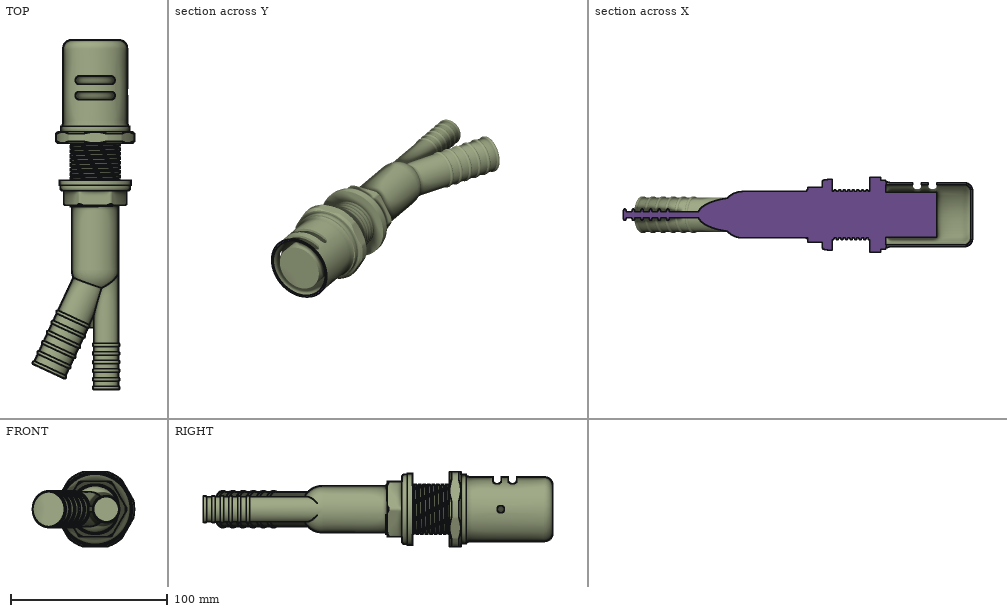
import cadquery as cq
import math


cap_height = 55.4
cap_radius = 20.65
cap_wall = 1.5
cap_top_fillet = 5.6
cap_foot_radius = 21.4
cap_foot_height = 3.4
vent_slot_length = 25.4
vent_slot_width = 5.2
vent_slot_levels = (29.55, 19.75)
side_hole_diameter = 4.7
side_hole_level = 22.1

core_radius = 14.5
core_height = 32.3
flange_radius = 22.2
flange_thickness = 3.3
upper_nut_radius = 25.15
upper_nut_apothem = 24.0
upper_nut_thickness = 7.5
upper_nut_chamfer = 1.4
upper_nut_edge_fillet = 4.0

tube_radius = 15.05
thread_radius = 16.1
thread_pitch = 2.92
thread_crest_width = 1.2
thread_root_width = 2.2
thread_embed = 0.3

washer_top = -34.3
washer_radius = 22.9
washer_thickness = 3.3
collar_radius = 22.5
collar_thickness = 3.6
collar_fillet = 2.2
lower_nut_apothem = 17.75
lower_nut_thickness = 9.2
lower_nut_corner_fillet = 2.0
lower_nut_chamfer = 1.2
thread_end_overhang = 0.9

tube_end = -91.7
dome_radius = 13.5
dome_skirt = 0.01
hose_end = -168.18
small_hose_radius = 8.05
small_bead_height = 0.6
small_bead_width = 2.2
small_bead_pitch = 5.5
large_hose_radius = 11.1
large_hose_length = 70.45
large_hose_start = tube_end - 1.0
large_hose_angle = 25.0
large_bead_height = 0.7
large_bead_width = 2.2
large_bead_pitch = 7.15
bead_count = 6
rib_thickness = 3.5
rib_end = -128.7

upper_nut_top = -flange_thickness
upper_nut_bottom = upper_nut_top - upper_nut_thickness
collar_top = washer_top - washer_thickness
lower_nut_top = collar_top - collar_thickness
lower_nut_bottom = lower_nut_top - lower_nut_thickness
thread_end = lower_nut_bottom - thread_end_overhang
small_hose_x = tube_radius - small_hose_radius


def disc(radius, top, bottom):
    """Cylinder on the main axis between two Y levels."""
    return cq.Workplane("XZ", origin=(0, top, 0)).circle(radius).extrude(top - bottom)


def hexagon(apothem, top, bottom):
    """Hexagonal prism on the main axis with flats facing +Z and -Z."""
    across_corners = 2 * apothem / math.cos(math.radians(30))
    return cq.Workplane("XZ", origin=(0, top, 0)).polygon(6, across_corners).extrude(top - bottom)


def make_cap():
    foot_step = cap_foot_radius - cap_radius
    foot_arc_radius = (cap_foot_height ** 2 + foot_step ** 2) / (2 * foot_step)
    outside = (
        cq.Workplane("XY")
        .lineTo(cap_foot_radius, 0)
        .radiusArc((cap_radius, cap_foot_height), foot_arc_radius)
        .lineTo(cap_radius, cap_height - cap_top_fillet)
        .radiusArc((cap_radius - cap_top_fillet, cap_height), -cap_top_fillet)
        .lineTo(0, cap_height)
        .close()
        .revolve(360, (0, 0, 0), (0, 1, 0))
    )
    inner_radius = cap_radius - cap_wall
    inner_fillet = cap_top_fillet - cap_wall
    cavity = disc(inner_radius, cap_height - cap_wall, 0).faces(">Y").edges().fillet(inner_fillet)
    slots = (
        cq.Workplane("XY")
        .pushPoints([(0, level) for level in vent_slot_levels])
        .slot2D(vent_slot_length, vent_slot_width)
        .extrude(cap_radius)
    )
    side_hole = (
        cq.Workplane("YZ", origin=(0, side_hole_level, 0))
        .circle(side_hole_diameter / 2)
        .extrude(cap_radius)
    )
    return outside.cut(cavity).cut(slots).cut(side_hole)


def make_upper_nut():
    blank = disc(upper_nut_radius, upper_nut_top, upper_nut_bottom)
    prism = hexagon(upper_nut_apothem, upper_nut_top, upper_nut_bottom).intersect(blank)
    softened_prism = prism.edges("|Y").fillet(upper_nut_edge_fillet)
    return softened_prism.intersect(blank.edges().chamfer(upper_nut_chamfer))


def make_thread():
    """Trapezoidal ridge wound round the tube, from the upper nut to a flat thread end."""
    start = upper_nut_bottom + thread_pitch
    finish = thread_end - thread_root_width / 2
    path = cq.Wire.makeHelix(thread_pitch, start - finish, tube_radius)
    ridge = (
        cq.Workplane("XZ")
        .moveTo(tube_radius - thread_embed, -thread_root_width / 2)
        .lineTo(thread_radius, -thread_crest_width / 2)
        .lineTo(thread_radius, thread_crest_width / 2)
        .lineTo(tube_radius - thread_embed, thread_root_width / 2)
        .close()
        .sweep(cq.Workplane(path), isFrenet=True)
    )
    ridge = ridge.rotate((0, 0, 0), (1, 0, 0), -90).translate((0, finish, 0))
    runout = disc(2 * thread_radius, thread_end, thread_end - 2 * thread_pitch)
    return ridge.cut(runout)


def make_lower_nut():
    washer = disc(washer_radius, washer_top, collar_top)
    collar = disc(collar_radius, collar_top, lower_nut_top).faces("<Y").edges().fillet(collar_fillet)
    prism = (
        hexagon(lower_nut_apothem, lower_nut_top, lower_nut_bottom)
        .edges("|Y")
        .fillet(lower_nut_corner_fillet)
    )
    corner_radius = lower_nut_apothem / math.cos(math.radians(30))
    chamfered_blank = (
        disc(corner_radius, lower_nut_top, lower_nut_bottom)
        .faces("<Y")
        .edges()
        .chamfer(lower_nut_chamfer)
    )
    return washer.union(collar).union(prism.intersect(chamfered_blank))


def make_tube():
    tube = disc(tube_radius, upper_nut_top, tube_end).union(make_thread())
    dome = (
        disc(tube_radius, tube_end, tube_end - dome_radius - dome_skirt)
        .faces("<Y")
        .edges()
        .fillet(dome_radius)
    )
    return tube.union(dome)


def make_hose(radius, length, bead_height, bead_width, bead_pitch):
    """Hose tail from the origin along -Y, with rounded beads counted back from its end."""
    profile = cq.Workplane("XY").lineTo(radius, 0)
    first_bead_top = -length + bead_width + (bead_count - 1) * bead_pitch
    for index in range(bead_count):
        bead_top = first_bead_top - index * bead_pitch
        bead_bottom = bead_top - bead_width
        bead_crest = (radius + bead_height, (bead_top + bead_bottom) / 2)
        profile = profile.lineTo(radius, bead_top).threePointArc(bead_crest, (radius, bead_bottom))
    return profile.lineTo(0, -length).close().revolve(360, (0, 0, 0), (0, 1, 0))


def make_branches():
    small_hose = make_hose(
        small_hose_radius, tube_end - hose_end, small_bead_height, small_bead_width, small_bead_pitch
    ).translate((small_hose_x, tube_end, 0))
    large_hose = (
        make_hose(large_hose_radius, large_hose_length, large_bead_height, large_bead_width, large_bead_pitch)
        .rotate((0, 0, 0), (0, 0, 1), -large_hose_angle)
        .translate((0, large_hose_start, 0))
    )
    rib_height = tube_end - rib_end
    rib = (
        cq.Workplane("XY")
        .polyline([
            (0, tube_end),
            (small_hose_x, tube_end),
            (small_hose_x, rib_end),
            (-rib_height * math.tan(math.radians(large_hose_angle)), rib_end),
        ])
        .close()
        .extrude(rib_thickness / 2, both=True)
    )
    return large_hose.union(small_hose).union(rib)


def make_body():
    core = disc(core_radius, core_height, 0)
    flange = disc(flange_radius, 0, upper_nut_top)
    return (
        make_tube()
        .union(make_upper_nut())
        .union(make_lower_nut())
        .union(flange)
        .union(core)
        .union(make_branches())
    )


cap = make_cap()
body = make_body()
result = cq.Compound.makeCompound([cap.solids().val(), body.solids().val()])